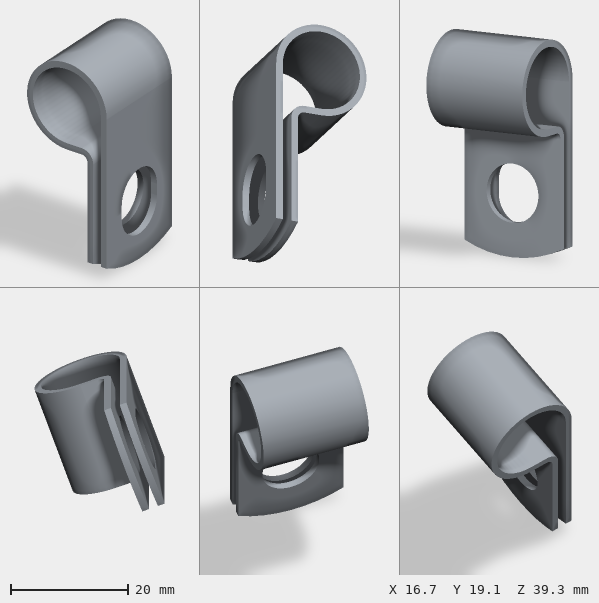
import cadquery as cq

height = 39.3
width = 19.05
loop_diameter = 16.7
thickness = 1.2
leg_gap = 1.6
bend_inner_radius = 1.18
hole_diameter = 10.3
hole_height = 11.1
slot_travel = 2.25
end_rise = 2.15

outer_radius = loop_diameter / 2
inner_radius = outer_radius - thickness
bottom = outer_radius - height
hole_z = bottom + hole_height
leg_right = inner_radius - leg_gap
leg_left = leg_right - thickness
bend_outer_radius = bend_inner_radius + thickness
bend_x = leg_right - bend_outer_radius
bend_z = -inner_radius - bend_outer_radius


def strap():
    """Bent strip: long leg, three-quarter loop, bend and short leg."""
    profile = (
        cq.Workplane("XZ")
        .moveTo(outer_radius, bottom)
        .lineTo(outer_radius, 0)
        .threePointArc((0, outer_radius), (-outer_radius, 0))
        .radiusArc((0, -outer_radius), -outer_radius)
        .lineTo(bend_x, -outer_radius)
        .radiusArc((leg_left, bend_z), bend_inner_radius)
        .lineTo(leg_left, bottom)
        .lineTo(leg_right, bottom)
        .lineTo(leg_right, bend_z)
        .radiusArc((bend_x, -inner_radius), -bend_outer_radius)
        .lineTo(0, -inner_radius)
        .radiusArc((-inner_radius, 0), inner_radius)
        .threePointArc((0, inner_radius), (inner_radius, 0))
        .lineTo(inner_radius, bottom)
        .close()
    )
    return profile.extrude(width / 2, both=True)


def side_outline():
    """Solid block with the rounded lower end, seen along X."""
    half_width = width / 2
    return (
        cq.Workplane("YZ")
        .moveTo(-half_width, outer_radius)
        .lineTo(-half_width, bottom + end_rise)
        .threePointArc((0, bottom), (half_width, bottom + end_rise))
        .lineTo(half_width, outer_radius)
        .close()
        .extrude(outer_radius, both=True)
    )


def bolt_hole():
    """Round hole through the short leg, ending in the gap."""
    return (
        cq.Workplane("YZ", origin=(leg_left, 0, hole_z))
        .circle(hole_diameter / 2)
        .extrude(thickness + leg_gap / 2)
    )


def bolt_slot():
    """Upright slot through the long leg, as wide as the round hole."""
    return (
        cq.Workplane("YZ", origin=(inner_radius, 0, hole_z))
        .slot2D(hole_diameter + slot_travel, hole_diameter, angle=90)
        .extrude(thickness)
    )


result = strap().intersect(side_outline()).cut(bolt_hole()).cut(bolt_slot())